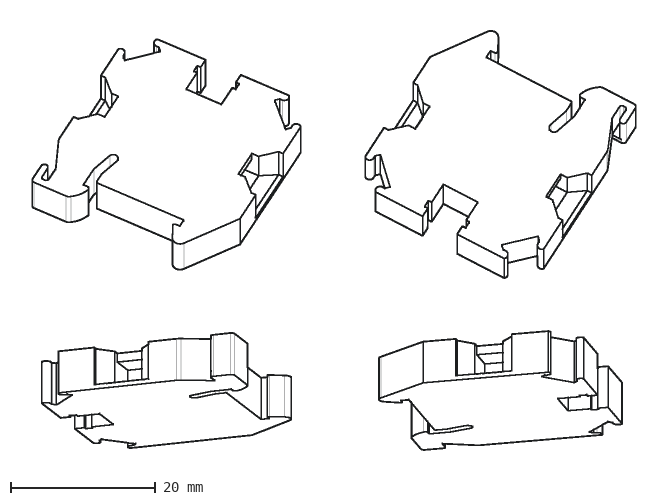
import cadquery as cq
import math

WIDTH = 28.5
LENGTH = 29.7
THICKNESS = 6.0
RIGHT = WIDTH / 2
LEFT = -RIGHT

LIP_THICKNESS = 1.14
LIP_RADIUS = 0.65
LIP_REACH = 3.76
LIP_ROOT = 4.8
LIP_UNDERCUT = 0.53

TOP_SLOT_WIDTH = 5.5
TOP_SLOT_DEPTH = 5.72
GROOVE_DEPTH = 0.53
GROOVE_START = 1.45
GROOVE_HEIGHT = 1.05

RAIL_SEAT_Y = 4.0
HOOK_TOP_Y = 2.83

RIGHT_FLANK_Y = 7.85
RIGHT_HOOK_TIP_X = LEFT + 20.68
RIGHT_SEAT_END_X = LEFT + 21.75
RIGHT_FOOT_RADIUS = 2.11 / 2
RIGHT_FOOT_CENTER = (LEFT + 22.73, RIGHT_FOOT_RADIUS)
HOOK_TIP_RADIUS = 0.25

LEFT_FLANK_Y = 8.1
LEFT_FLANK_RADIUS = 1.5
LEG_WIDTH = 1.0
LEG_TOP_Y = 3.47
LEG_CORNER_RADIUS = 0.45
LEFT_TOE_X = LEFT + 5.45
LEFT_TOE_END = (LEFT + 6.1, 0.27)
LEFT_TOE_MID = (LEFT + 5.82, 0.07)
LEFT_HOOK_FLANK_MID = (LEFT + 6.93, 1.04)
LEFT_HOOK_FLANK_END = (LEFT + 7.6, 2.25)
LEFT_HOOK_TIP_MID = (LEFT + 7.63, 2.65)
LEFT_HOOK_TIP_X = LEFT + 7.4

LEG_SLOT_WIDTH = 1.0
LEG_SLOT_END_X = LEFT + LEG_WIDTH + LEG_SLOT_WIDTH
LEG_SLOT_BOTTOM_Y = 1.05
LEG_SLOT_RADIUS = 0.35
LEG_SLOT_FLOOR_Z = 1.0

SPRING_SLOT_WIDTH = 1.36
SPRING_SLOT_LEFT_X = LEFT + 6.68
SPRING_SLOT_RIGHT_X = SPRING_SLOT_LEFT_X + SPRING_SLOT_WIDTH
SPRING_SLOT_TILT = math.radians(15.5)
SPRING_SLOT_BEND_Y = 5.75
SPRING_SLOT_TOP_Y = 9.42
SEAT_CORNER_RADIUS = 0.2

ENTRY_Y = 16.5
ENTRY_LIP_DEPTH = 0.7
ENTRY_DEPTH = 2.75
ENTRY_OUTER_WIDTH = 8.0
ENTRY_INNER_WIDTH = 4.0
ENTRY_OUTER_FLOOR_Z = 0.65
ENTRY_INNER_FLOOR_Z = 1.5
OPEN_DEPTH = 3.8
TUNNEL_DEPTH = 8.0
TUNNEL_ROOF_Z = 4.73


def box(x_start, x_end, y_start, y_end, z_start, z_end):
    """Axis-aligned box given by its limits."""
    return (
        cq.Workplane("XY", origin=(0, 0, z_start))
        .moveTo(x_start, y_start)
        .lineTo(x_end, y_start)
        .lineTo(x_end, y_end)
        .lineTo(x_start, y_end)
        .close()
        .extrude(z_end - z_start)
    )


def tangent_point(point, center, radius, side):
    """Point where the line from an outside point touches a circle; side is +1 or -1."""
    dx = point[0] - center[0]
    dy = point[1] - center[1]
    angle = math.atan2(dy, dx) + side * math.acos(radius / math.hypot(dx, dy))
    return (center[0] + radius * math.cos(angle), center[1] + radius * math.sin(angle))


def round_corner(body, x, y, radius):
    """Fillet the upright edge at the given place."""
    nearest = cq.selectors.NearestToPointSelector((x, y, THICKNESS / 2))
    return body.edges("|Z").edges(nearest).fillet(radius)


def plate():
    """Full-thickness plate with both feet, before the upper cut-outs and the slots."""
    side_end = (RIGHT, RIGHT_FLANK_Y)
    hook_tip = (RIGHT_HOOK_TIP_X, HOOK_TOP_Y)
    foot_outer = tangent_point(side_end, RIGHT_FOOT_CENTER, RIGHT_FOOT_RADIUS, -1)
    foot_inner = tangent_point(hook_tip, RIGHT_FOOT_CENTER, RIGHT_FOOT_RADIUS, 1)
    body = (
        cq.Workplane("XY")
        .moveTo(LEFT, LENGTH)
        .lineTo(RIGHT, LENGTH)
        .lineTo(*side_end)
        .lineTo(*foot_outer)
        .threePointArc((RIGHT_FOOT_CENTER[0], 0), foot_inner)
        .lineTo(*hook_tip)
        .lineTo(RIGHT_SEAT_END_X, HOOK_TOP_Y)
        .lineTo(RIGHT_SEAT_END_X, RAIL_SEAT_Y)
        .lineTo(SPRING_SLOT_LEFT_X, RAIL_SEAT_Y)
        .lineTo(SPRING_SLOT_LEFT_X, HOOK_TOP_Y)
        .lineTo(LEFT_HOOK_TIP_X, HOOK_TOP_Y)
        .threePointArc(LEFT_HOOK_TIP_MID, LEFT_HOOK_FLANK_END)
        .threePointArc(LEFT_HOOK_FLANK_MID, LEFT_TOE_END)
        .threePointArc(LEFT_TOE_MID, (LEFT_TOE_X, 0))
        .lineTo(LEFT, 0)
        .lineTo(LEFT, LEG_TOP_Y)
        .lineTo(LEG_SLOT_END_X, LEG_TOP_Y)
        .lineTo(LEFT, LEFT_FLANK_Y)
        .close()
        .extrude(THICKNESS)
    )
    body = round_corner(body, *hook_tip, HOOK_TIP_RADIUS)
    body = round_corner(body, LEFT, 0, LEG_CORNER_RADIUS)
    body = round_corner(body, LEFT, LEG_TOP_Y, LEG_WIDTH / 2)
    return round_corner(body, LEFT, LEFT_FLANK_Y, LEFT_FLANK_RADIUS)


def shoulder_cutouts():
    """Material removed above both shoulders, leaving two round-nosed lips on each side."""
    undercut_end = LIP_THICKNESS + LIP_UNDERCUT
    face_end = LIP_ROOT + LIP_UNDERCUT
    arc_end = LIP_REACH + LIP_RADIUS
    arc_middle = LIP_THICKNESS - LIP_RADIUS
    arc_start = arc_end - math.sqrt(LIP_RADIUS**2 - arc_middle**2)

    def place(across, down):
        """Point given by its distances from the side plane and the top edge."""
        return (LEFT + across, LENGTH - down)

    cutout = (
        cq.Workplane("XY")
        .moveTo(*place(0, 0))
        .lineTo(*place(arc_start, 0))
        .threePointArc(place(LIP_REACH, arc_middle), place(arc_end, LIP_THICKNESS))
        .lineTo(*place(LIP_ROOT, LIP_THICKNESS))
        .lineTo(*place(face_end, undercut_end))
        .lineTo(*place(undercut_end, face_end))
        .lineTo(*place(LIP_THICKNESS, LIP_ROOT))
        .lineTo(*place(LIP_THICKNESS, arc_end))
        .threePointArc(place(arc_middle, LIP_REACH), place(0, arc_start))
        .close()
        .extrude(THICKNESS)
    )
    return cutout.union(cutout.mirror("YZ"))


def top_slot():
    """Central slot in the top edge with a small groove in each wall."""
    half = TOP_SLOT_WIDTH / 2
    groove_half = half + GROOVE_DEPTH
    groove_top = LENGTH - GROOVE_START
    slot = box(-half, half, LENGTH - TOP_SLOT_DEPTH, LENGTH, 0, THICKNESS)
    grooves = box(-groove_half, groove_half, groove_top - GROOVE_HEIGHT, groove_top, 0, THICKNESS)
    return slot.union(grooves)


def leg_slot():
    """Blind slot beside the leg, rounding the inner corner of the leg's top."""
    left = LEFT + LEG_WIDTH
    lower_slot = box(left, LEG_SLOT_END_X, LEG_SLOT_BOTTOM_Y, LEG_TOP_Y, LEG_SLOT_FLOOR_Z, THICKNESS)
    for corner_x in (left, LEG_SLOT_END_X):
        lower_slot = round_corner(lower_slot, corner_x, LEG_SLOT_BOTTOM_Y, LEG_SLOT_RADIUS)
    radius = LEG_WIDTH / 2
    corner = box(left - radius, left, LEG_TOP_Y - radius, LEG_TOP_Y, LEG_SLOT_FLOOR_Z, THICKNESS)
    leg_top = cq.Workplane("XY").center(left - radius, LEG_TOP_Y - radius).circle(radius).extrude(THICKNESS)
    return lower_slot.union(corner.cut(leg_top))


def spring_slot():
    """Bent slot with a round end that frees the left foot."""
    radius = SPRING_SLOT_WIDTH / 2
    sine = math.sin(SPRING_SLOT_TILT)
    cosine = math.cos(SPRING_SLOT_TILT)
    bend_shift = radius * math.tan(SPRING_SLOT_TILT / 2)
    end_y = SPRING_SLOT_TOP_Y - radius
    middle_x = (SPRING_SLOT_LEFT_X + SPRING_SLOT_RIGHT_X) / 2
    end_x = middle_x + (end_y - SPRING_SLOT_BEND_Y) * math.tan(SPRING_SLOT_TILT)
    return (
        cq.Workplane("XY")
        .moveTo(SPRING_SLOT_LEFT_X, HOOK_TOP_Y)
        .lineTo(SPRING_SLOT_LEFT_X, SPRING_SLOT_BEND_Y + bend_shift)
        .lineTo(end_x - radius * cosine, end_y + radius * sine)
        .threePointArc(
            (end_x + radius * sine, end_y + radius * cosine),
            (end_x + radius * cosine, end_y - radius * sine),
        )
        .lineTo(SPRING_SLOT_RIGHT_X, SPRING_SLOT_BEND_Y - bend_shift)
        .lineTo(SPRING_SLOT_RIGHT_X, HOOK_TOP_Y)
        .close()
        .extrude(THICKNESS)
    )


def entry_section(x, width, floor_z):
    """Upright rectangle across a wire entry, from its floor to the front face."""
    half = width / 2
    corners = [
        cq.Vector(x, ENTRY_Y - half, floor_z),
        cq.Vector(x, ENTRY_Y + half, floor_z),
        cq.Vector(x, ENTRY_Y + half, THICKNESS),
        cq.Vector(x, ENTRY_Y - half, THICKNESS),
    ]
    return cq.Wire.makePolygon(corners, close=True)


def wire_entries():
    """Tapered entry leading into a blind square-edged tunnel, in the left and right sides."""
    half_outer = ENTRY_OUTER_WIDTH / 2
    half_inner = ENTRY_INNER_WIDTH / 2
    lip_x = LEFT + ENTRY_LIP_DEPTH
    inner_x = LEFT + ENTRY_DEPTH
    open_x = LEFT + OPEN_DEPTH
    tunnel_x = LEFT + TUNNEL_DEPTH
    inner_low = ENTRY_Y - half_inner
    inner_high = ENTRY_Y + half_inner
    mouth = box(LEFT, lip_x, ENTRY_Y - half_outer, ENTRY_Y + half_outer, ENTRY_OUTER_FLOOR_Z, THICKNESS)
    outer_section = entry_section(lip_x, ENTRY_OUTER_WIDTH, ENTRY_OUTER_FLOOR_Z)
    inner_section = entry_section(inner_x, ENTRY_INNER_WIDTH, ENTRY_INNER_FLOOR_Z)
    funnel = cq.Workplane(cq.Solid.makeLoft([outer_section, inner_section], True))
    opening = box(inner_x, open_x, inner_low, inner_high, ENTRY_INNER_FLOOR_Z, THICKNESS)
    tunnel = box(inner_x, tunnel_x, inner_low, inner_high, ENTRY_INNER_FLOOR_Z, TUNNEL_ROOF_Z)
    entry = mouth.union(funnel).union(opening).union(tunnel)
    return entry.union(entry.mirror("YZ"))


result = plate()
for cutter in (shoulder_cutouts(), top_slot(), leg_slot(), spring_slot(), wire_entries()):
    result = result.cut(cutter)
result = round_corner(result, SPRING_SLOT_RIGHT_X, RAIL_SEAT_Y, SEAT_CORNER_RADIUS)